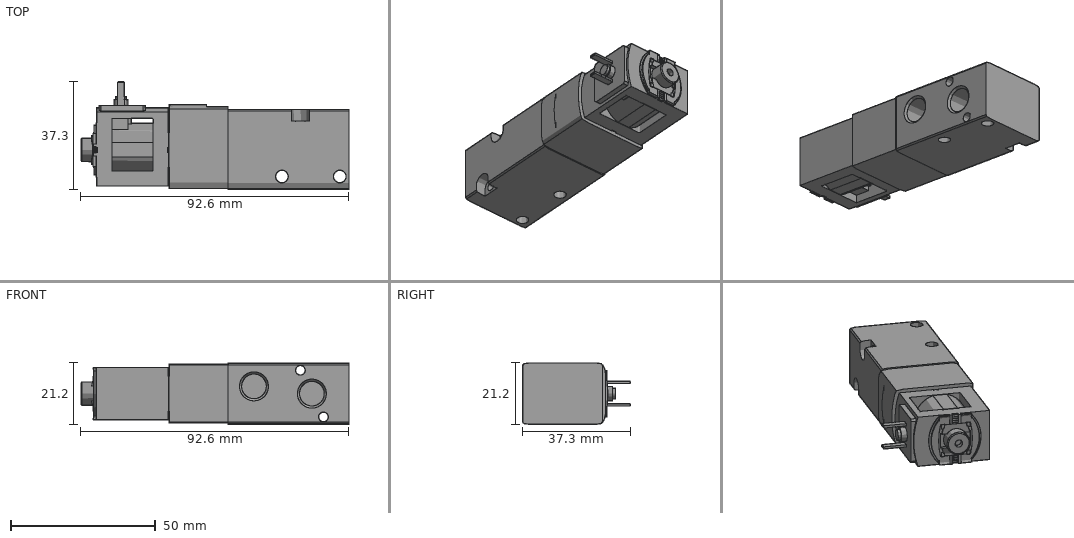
import cadquery as cq
import math


COIL_FRONT = 5.4
COIL_BACK = 30.2
ADAPTER_FRONT = 30.5
VALVE_FRONT = 50.9
VALVE_END = 92.6

COIL_HALF_HEIGHT = 9.1
COIL_BOTTOM_Y = -12.5
COIL_SHOULDER_Y = 13.2
COIL_CROWN_Y = 14.6
WINDOW_X = (10.65, 24.9)
WINDOW_Y = (-7.2, 10.9)
WINDOW_CORNER_RADIUS = 0.5
NOTCH_WIDTH = 1.8
NOTCH_LENGTH = 0.3
NOTCH_DEPTH = 0.4
COLLAR_DIAMETER = 12.0

WINDING_RADIUS = 9.3
WINDING_FLAT_WIDTH = 5.0
TERMINAL_BLOCK_END = 16.3
TERMINAL_BLOCK_Y = 7.0
TERMINAL_BLOCK_HALF_HEIGHT = 6.2
TERMINAL_RIB_END = 17.4
TERMINAL_RIB_Y = 9.0
TERMINAL_RIB_HALF_HEIGHT = 4.6

PLATE_X = (6.2, 22.2)
PLATE_TOP_Y = 15.4
PLATE_HALF_HEIGHT = 8.1
PLATE_CORNER = 0.7
CONNECTOR_X = 13.8
BOSS_DIAMETER = 5.0
BOSS_TOP_Y = 17.4
STUD_DIAMETER = 3.8
STUD_TOP_Y = 18.4
BLADE_WIDTH = 2.4
BLADE_THICKNESS = 0.8
BLADE_OFFSET = 3.9
BLADE_TIP_Y = 23.6
BLADE_TIP_CHAMFER = 0.3

BASE_FRONT = 5.1
BASE_HALF_WIDTH = 9.4
BASE_HALF_HEIGHT = 9.0
CLIP_FRONT = 4.45
CLIP_HALF_WIDTH = 8.6
CLIP_HALF_HEIGHT = 8.7
LIP_START_Z = 7.3
LIP_MIDDLE = (4.4, 8.15)
LIP_TIP = (4.1, 8.9)
LIP_HALF_WIDTH = 5.7
CLIP_ARC_RADIUS = 11.9
FRAME_FRONT = 4.3
FRAME_SIDE_Y = 5.4
FRAME_CROWN_Y = 6.0
FRAME_HALF_HEIGHT = 5.7
LUG_FRONT = 4.2
LUG_Y = (4.0, 5.1)
LUG_Z = (4.4, 5.9)
TAB_FRONT = 4.4
TAB_HALF_WIDTH = 2.0
TAB_SLOT_HALF_WIDTH = 1.1
TAB_OUTER_Z = 9.1
STEP_FLOORS = (4.6, 4.8, 5.0, 5.2)
STEP_STARTS = (6.2, 6.9, 7.5, 8.1)
TONGUE_FRONT = 3.6
TONGUE_Z = (2.6, 5.0)
TONGUE_ROOT_HALF_WIDTH = 4.3
TONGUE_TIP_HALF_WIDTH = 5.0
RECESS_FLOOR = 5.1
RECESS_HALF_WIDTH = 5.4

KNOB_DIAMETER = 8.15
KNOB_CHAMFER = 0.4
KNOB_HOLE_DIAMETER = 2.6
KNOB_HOLE_DEPTH = 1.85

ADAPTER_HALF_HEIGHT = 10.2
ADAPTER_EDGE_Z = 9.8
ADAPTER_CORNER_Z = 8.7
ADAPTER_BOTTOM_Y = -13.3
ADAPTER_BOTTOM_BEVEL_Y = -11.4
ADAPTER_TOP_BEVEL_Y = 11.5
ADAPTER_TOP_EDGE_Y = 14.1
ADAPTER_CORNER_Y = 14.6
ADAPTER_CROWN_Y = 15.75
ADAPTER_FLAT_Y = 15.0
ADAPTER_CROWN_END = 43.4

VALVE_HEIGHT = 21.2
VALVE_HALF_HEIGHT = VALVE_HEIGHT / 2
VALVE_RIM_Z = 10.4
VALVE_SIDE_Z = 9.8
VALVE_Y = (-13.7, 14.0)
VALVE_RIM_WIDTH = 0.5
VALVE_BEVEL_WIDTH = 2.1
PORT_DIAMETER = 8.5
PORT_MOUTH_DIAMETER = 10.0
PORT_DEPTH = 11.1
PORT_PLACES = [(59.75, 2.5), (79.8, 0.0)]
SIDE_HOLE_DIAMETER = 3.2
SIDE_HOLE_SPACING = 8.0
SIDE_HOLE_Z = 8.1
HEAD_SLOT_WIDTH = 6.3
HEAD_SLOT_FLOOR_Y = 10.0
TOP_HOLE_DIAMETER = 4.3
TOP_HOLE_X = (69.4, 89.4)
TOP_HOLE_Y = -9.2


def box(x_range, y_range, z_range):
    """Box between pairs of limits along X, Y and Z."""
    size = [limits[1] - limits[0] for limits in (x_range, y_range, z_range)]
    corner = (x_range[0], y_range[0], z_range[0])
    return cq.Workplane("XY").box(*size, centered=False).translate(corner)


def profile_at(x):
    """Sketch plane across the valve: its own axes are Y and Z, and it extrudes toward +X."""
    return cq.Workplane("YZ", origin=(x, 0, 0))


def rod_x(diameter, x_range):
    """Cylinder on the coil axis."""
    return profile_at(x_range[0]).circle(diameter / 2).extrude(x_range[1] - x_range[0])


def rod_y(diameter, x, z, y_range):
    """Cylinder parallel to Y."""
    plane = cq.Workplane("XZ", origin=(x, y_range[0], z))
    return plane.circle(diameter / 2).extrude(y_range[0] - y_range[1])


def both_sides(shape):
    """The shape together with its mirror image below the plane Z = 0."""
    return shape.union(shape.mirror("XY"))



def coil_housing():
    length = COIL_BACK - COIL_FRONT
    housing = (
        profile_at(COIL_FRONT)
        .moveTo(COIL_SHOULDER_Y, -COIL_HALF_HEIGHT)
        .threePointArc((COIL_CROWN_Y, 0), (COIL_SHOULDER_Y, COIL_HALF_HEIGHT))
        .lineTo(COIL_BOTTOM_Y, COIL_HALF_HEIGHT)
        .lineTo(COIL_BOTTOM_Y, -COIL_HALF_HEIGHT)
        .close()
        .extrude(length)
    )
    window = box(WINDOW_X, WINDOW_Y, (-COIL_HALF_HEIGHT, COIL_HALF_HEIGHT))
    window = window.edges("|Z and >X").fillet(WINDOW_CORNER_RADIUS)
    housing = housing.cut(window).union(winding().intersect(window))
    for start in (COIL_FRONT, COIL_BACK - NOTCH_LENGTH):
        notch = box(
            (start, start + NOTCH_LENGTH),
            (-NOTCH_WIDTH / 2, NOTCH_WIDTH / 2),
            (COIL_HALF_HEIGHT - NOTCH_DEPTH, COIL_HALF_HEIGHT),
        )
        housing = housing.cut(both_sides(notch))
    return housing.union(rod_x(COLLAR_DIAMETER, (COIL_BACK, ADAPTER_FRONT)))


def winding():
    """Winding with a flat above and below, and the terminal block beside it."""
    flat_z = math.sqrt(WINDING_RADIUS**2 - (WINDING_FLAT_WIDTH / 2) ** 2)
    flats = box(WINDOW_X, (-WINDING_RADIUS, WINDING_RADIUS), (-flat_z, flat_z))
    coil = rod_x(2 * WINDING_RADIUS, WINDOW_X).intersect(flats)
    block = box(
        (WINDOW_X[0], TERMINAL_BLOCK_END),
        (TERMINAL_BLOCK_Y, WINDOW_Y[1]),
        (-TERMINAL_BLOCK_HALF_HEIGHT, TERMINAL_BLOCK_HALF_HEIGHT),
    )
    rib = box(
        (WINDOW_X[0], TERMINAL_RIB_END),
        (TERMINAL_RIB_Y, WINDOW_Y[1]),
        (-TERMINAL_RIB_HALF_HEIGHT, TERMINAL_RIB_HALF_HEIGHT),
    )
    return coil.union(block).union(rib)


def connector():
    plate = box(PLATE_X, (COIL_SHOULDER_Y, PLATE_TOP_Y), (-PLATE_HALF_HEIGHT, PLATE_HALF_HEIGHT))
    plate = plate.edges("|Y").chamfer(PLATE_CORNER)
    boss = rod_y(BOSS_DIAMETER, CONNECTOR_X, 0, (COIL_SHOULDER_Y, BOSS_TOP_Y))
    stud = rod_y(STUD_DIAMETER, CONNECTOR_X, 0, (COIL_SHOULDER_Y, STUD_TOP_Y))
    blade = box(
        (CONNECTOR_X - BLADE_WIDTH / 2, CONNECTOR_X + BLADE_WIDTH / 2),
        (COIL_SHOULDER_Y, BLADE_TIP_Y),
        (BLADE_OFFSET - BLADE_THICKNESS / 2, BLADE_OFFSET + BLADE_THICKNESS / 2),
    )
    blade = blade.faces(">Y").edges().chamfer(BLADE_TIP_CHAMFER)
    return plate.union(boss).union(stud).union(both_sides(blade))


def lens_plate(x_range, half_width, half_height):
    """Plate with arched sides, cut off flat above and below."""
    reach = CLIP_ARC_RADIUS - half_width
    edge_y = math.sqrt(CLIP_ARC_RADIUS**2 - half_height**2) - reach
    return (
        profile_at(x_range[0])
        .moveTo(edge_y, -half_height)
        .threePointArc((half_width, 0), (edge_y, half_height))
        .lineTo(-edge_y, half_height)
        .threePointArc((-half_width, 0), (-edge_y, -half_height))
        .close()
        .extrude(x_range[1] - x_range[0])
    )


def clip_plates():
    """Two stacked plates; the front one curls forward into a lip above and below."""
    base = lens_plate((BASE_FRONT, COIL_FRONT), BASE_HALF_WIDTH, BASE_HALF_HEIGHT)
    clip = lens_plate((CLIP_FRONT, COIL_FRONT), CLIP_HALF_WIDTH, CLIP_HALF_HEIGHT)
    lip = (
        cq.Workplane("XZ", origin=(0, LIP_HALF_WIDTH, 0))
        .moveTo(CLIP_FRONT, LIP_START_Z)
        .lineTo(*LIP_MIDDLE)
        .lineTo(*LIP_TIP)
        .lineTo(BASE_FRONT, LIP_TIP[1])
        .lineTo(BASE_FRONT, LIP_START_Z)
        .close()
        .extrude(2 * LIP_HALF_WIDTH)
    )
    return base.union(clip).union(both_sides(lip))


def clip_frame():
    """Raised frame around the knob with a lug at each corner."""
    frame = (
        profile_at(FRAME_FRONT)
        .moveTo(FRAME_SIDE_Y, -FRAME_HALF_HEIGHT)
        .threePointArc((FRAME_CROWN_Y, 0), (FRAME_SIDE_Y, FRAME_HALF_HEIGHT))
        .lineTo(-FRAME_SIDE_Y, FRAME_HALF_HEIGHT)
        .threePointArc((-FRAME_CROWN_Y, 0), (-FRAME_SIDE_Y, -FRAME_HALF_HEIGHT))
        .close()
        .extrude(COIL_FRONT - FRAME_FRONT)
    )
    lug = box((LUG_FRONT, COIL_FRONT), LUG_Y, LUG_Z)
    lugs = both_sides(lug.union(lug.mirror("XZ")))
    return frame.union(lugs)


def clip_tabs():
    """Pair of rails above and below the frame."""
    rails = box(
        (TAB_FRONT, COIL_FRONT),
        (-TAB_HALF_WIDTH, TAB_HALF_WIDTH),
        (FRAME_HALF_HEIGHT, TAB_OUTER_Z),
    )
    return both_sides(rails)


def tab_slots():
    """Slot between each pair of rails, deepening in steps toward its outer end."""
    slot = cq.Workplane("XY")
    for floor_x, start_z in zip(STEP_FLOORS, STEP_STARTS):
        step = box(
            (LIP_TIP[0], floor_x),
            (-TAB_SLOT_HALF_WIDTH, TAB_SLOT_HALF_WIDTH),
            (start_z, TAB_OUTER_Z),
        )
        slot = slot.add(step)
    return both_sides(slot.combine())


def lip_gaps():
    """Clearance that keeps the lips from standing out in front of the rails."""
    gap = box(
        (LIP_TIP[0], TAB_FRONT), (-TAB_HALF_WIDTH, TAB_HALF_WIDTH), (LIP_START_Z, TAB_OUTER_Z)
    )
    return both_sides(gap)


def clip_tongues():
    """Sloped tongue that rises toward the knob from each end of the frame."""
    tip_z, root_z = TONGUE_Z
    wedge = (
        cq.Workplane("XZ", origin=(0, TONGUE_TIP_HALF_WIDTH, 0))
        .moveTo(FRAME_FRONT, root_z)
        .lineTo(TONGUE_FRONT, tip_z)
        .lineTo(COIL_FRONT, tip_z)
        .lineTo(COIL_FRONT, root_z)
        .close()
        .extrude(2 * TONGUE_TIP_HALF_WIDTH)
    )
    outline = (
        profile_at(TONGUE_FRONT)
        .moveTo(TONGUE_ROOT_HALF_WIDTH, root_z)
        .lineTo(TONGUE_TIP_HALF_WIDTH, tip_z)
        .lineTo(-TONGUE_TIP_HALF_WIDTH, tip_z)
        .lineTo(-TONGUE_ROOT_HALF_WIDTH, root_z)
        .close()
        .extrude(COIL_FRONT - TONGUE_FRONT)
    )
    return both_sides(wedge.intersect(outline))


def knob_recess():
    """Recess between the tongues, around the foot of the knob."""
    return box(
        (FRAME_FRONT, RECESS_FLOOR),
        (-RECESS_HALF_WIDTH, RECESS_HALF_WIDTH),
        (-TONGUE_Z[0], TONGUE_Z[0]),
    )


def knob():
    return rod_x(KNOB_DIAMETER, (0, COIL_FRONT)).faces("<X").chamfer(KNOB_CHAMFER)


def make_coil():
    coil = coil_housing()
    for feature in (connector(), clip_plates(), clip_frame(), clip_tabs(), clip_tongues()):
        coil = coil.union(feature)
    coil = coil.cut(tab_slots()).cut(lip_gaps()).cut(knob_recess())
    coil = coil.union(knob())
    return coil.cut(rod_x(KNOB_HOLE_DIAMETER, (0, KNOB_HOLE_DEPTH)))



def make_adapter():
    adapter = (
        profile_at(ADAPTER_FRONT)
        .moveTo(ADAPTER_CORNER_Y, -ADAPTER_CORNER_Z)
        .threePointArc((ADAPTER_CROWN_Y, 0), (ADAPTER_CORNER_Y, ADAPTER_CORNER_Z))
        .lineTo(ADAPTER_TOP_EDGE_Y, ADAPTER_EDGE_Z)
        .lineTo(ADAPTER_TOP_BEVEL_Y, ADAPTER_HALF_HEIGHT)
        .lineTo(ADAPTER_BOTTOM_BEVEL_Y, ADAPTER_HALF_HEIGHT)
        .lineTo(ADAPTER_BOTTOM_Y, ADAPTER_EDGE_Z)
        .lineTo(ADAPTER_BOTTOM_Y, -ADAPTER_EDGE_Z)
        .lineTo(ADAPTER_BOTTOM_BEVEL_Y, -ADAPTER_HALF_HEIGHT)
        .lineTo(ADAPTER_TOP_BEVEL_Y, -ADAPTER_HALF_HEIGHT)
        .lineTo(ADAPTER_TOP_EDGE_Y, -ADAPTER_EDGE_Z)
        .close()
        .extrude(VALVE_FRONT - ADAPTER_FRONT)
    )
    crown_step = box(
        (ADAPTER_CROWN_END, VALVE_FRONT),
        (ADAPTER_FLAT_Y, ADAPTER_CROWN_Y),
        (-ADAPTER_HALF_HEIGHT, ADAPTER_HALF_HEIGHT),
    )
    return adapter.cut(crown_step)



def valve_block():
    """Bar whose four long edges have a steep rim and a shallow bevel."""
    bottom, top = VALVE_Y
    upper_half = [
        (top, VALVE_SIDE_Z),
        (top - VALVE_RIM_WIDTH, VALVE_RIM_Z),
        (top - VALVE_BEVEL_WIDTH, VALVE_HALF_HEIGHT),
        (bottom + VALVE_BEVEL_WIDTH, VALVE_HALF_HEIGHT),
        (bottom + VALVE_RIM_WIDTH, VALVE_RIM_Z),
        (bottom, VALVE_SIDE_Z),
    ]
    lower_half = [(y, -z) for y, z in reversed(upper_half)]
    outline = profile_at(VALVE_FRONT).polyline(upper_half + lower_half).close()
    return outline.extrude(VALVE_END - VALVE_FRONT)


def port(x, z):
    """Blind port in the -Y side with a chamfered mouth."""
    mouth_y = VALVE_Y[0]
    chamfer = (PORT_MOUTH_DIAMETER - PORT_DIAMETER) / 2
    bore = rod_y(PORT_DIAMETER, x, z, (mouth_y, mouth_y + PORT_DEPTH))
    cone = cq.Solid.makeCone(
        PORT_MOUTH_DIAMETER / 2,
        PORT_DIAMETER / 2,
        chamfer,
        cq.Vector(x, mouth_y, z),
        cq.Vector(0, 1, 0),
    )
    return bore.union(cq.Workplane(cone))


def screw_passage(x, side):
    """Cross hole for a mounting screw, with a slot for its head open toward side * Z."""
    z = side * SIDE_HOLE_Z
    floor_range = (HEAD_SLOT_FLOOR_Y, VALVE_Y[1])
    slot = rod_y(HEAD_SLOT_WIDTH, x, z, floor_range)
    opening = box(
        (x - HEAD_SLOT_WIDTH / 2, x + HEAD_SLOT_WIDTH / 2),
        floor_range,
        sorted((z, side * VALVE_HALF_HEIGHT)),
    )
    return rod_y(SIDE_HOLE_DIAMETER, x, z, VALVE_Y).union(slot).union(opening)


def make_valve():
    valve = valve_block()
    for x, z in PORT_PLACES:
        valve = valve.cut(port(x, z))
    screw_middle = PORT_PLACES[1][0]
    for side in (1, -1):
        valve = valve.cut(screw_passage(screw_middle - side * SIDE_HOLE_SPACING / 2, side))
    for x in TOP_HOLE_X:
        plane = cq.Workplane("XY", origin=(x, TOP_HOLE_Y, -VALVE_HALF_HEIGHT))
        valve = valve.cut(plane.circle(TOP_HOLE_DIAMETER / 2).extrude(VALVE_HEIGHT))
    return valve


coil = make_coil()
adapter = make_adapter()
valve = make_valve()

result = cq.Compound.makeCompound([coil.val(), adapter.val(), valve.val()])